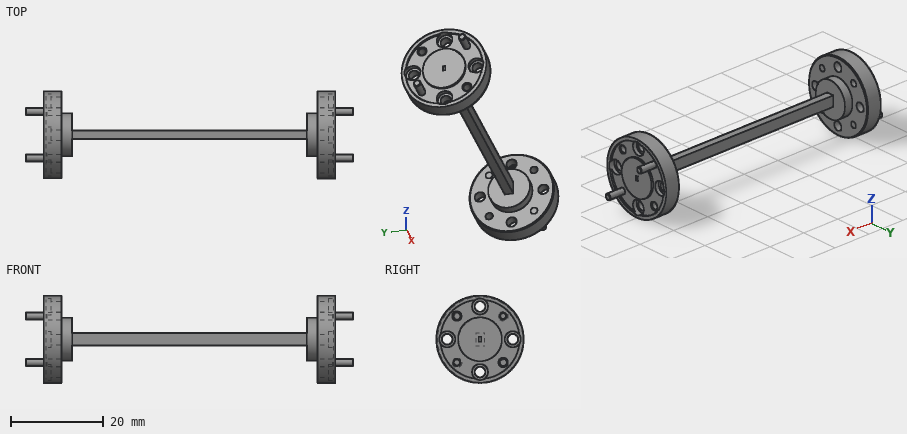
import cadquery as cq
import math

total_length = 71.25

flange_diameter = 19.0
flange_thickness = 4.0
flange_chamfer = 0.2
boss_diameter = 9.4
boss_length = 2.2

recess_outer_diameter = 17.25
recess_inner_diameter = 9.55
recess_depth = 0.5

bolt_circle_radius = 7.1
bolt_hole_diameter = 2.3
counterbore_diameter = 3.5
counterbore_depth = 1.6
bolt_angles = (0, 90, 180, 270)
pin_angles = (135, 315)
socket_angles = (45, 225)
socket_diameter = 1.65
socket_chamfer = 0.2

pin_diameter = 1.6
pin_projection = 3.9
pin_chamfer = 0.15

tube_width = 1.9
tube_height = 2.8
aperture_width = 0.6
aperture_height = 1.1
aperture_depth = 0.4

pin_tip_x = -total_length / 2
face_x = pin_tip_x + pin_projection
recess_floor_x = face_x + recess_depth
counterbore_floor_x = face_x + counterbore_depth
flange_back_x = face_x + flange_thickness
boss_end_x = flange_back_x + boss_length


def on_bolt_circle(angles):
    """(y, z) positions on the bolt circle."""
    return [
        (
            bolt_circle_radius * math.cos(math.radians(angle)),
            bolt_circle_radius * math.sin(math.radians(angle)),
        )
        for angle in angles
    ]


def rods(diameter, start_x, end_x, centers=((0, 0),)):
    """Cylinders along X at the given (y, z) centers."""
    return (
        cq.Workplane("YZ", origin=(start_x, 0, 0))
        .pushPoints(centers)
        .circle(diameter / 2)
        .extrude(end_x - start_x)
    )


def other_end(body):
    """The same body turned half a turn about Z, to the +X end."""
    return body.rotate((0, 0, 0), (0, 0, 1), 180)


def face_recess():
    """Ring cut into the mating face around its central land."""
    disc = rods(recess_outer_diameter, face_x, recess_floor_x)
    land = rods(recess_inner_diameter, face_x, recess_floor_x)
    return disc.cut(land)


def bolt_holes():
    """Through holes counterbored from the mating face."""
    centers = on_bolt_circle(bolt_angles)
    holes = rods(bolt_hole_diameter, face_x, flange_back_x, centers)
    counterbores = rods(counterbore_diameter, face_x, counterbore_floor_x, centers)
    return holes.union(counterbores)


def pin_sockets():
    """Through holes for the mating pins, chamfered where they open into the recess."""
    sockets = rods(socket_diameter, recess_floor_x, flange_back_x, on_bolt_circle(socket_angles))
    mouth_diameter = socket_diameter + 2 * socket_chamfer
    mouths = (
        cq.Workplane("YZ", origin=(recess_floor_x, 0, 0))
        .pushPoints(on_bolt_circle(socket_angles))
        .circle(mouth_diameter / 2)
        .extrude(socket_chamfer, taper=45)
    )
    return sockets.union(mouths)


def aperture():
    """Shallow rectangular waveguide opening in the mating face."""
    return (
        cq.Workplane("YZ", origin=(face_x, 0, 0))
        .rect(aperture_width, aperture_height)
        .extrude(aperture_depth)
    )


def make_flange():
    plate = rods(flange_diameter, face_x, flange_back_x).faces(">X").chamfer(flange_chamfer)
    boss = rods(boss_diameter, flange_back_x, boss_end_x)
    pin_holes = rods(pin_diameter, face_x, flange_back_x, on_bolt_circle(pin_angles))
    flange = plate.union(boss)
    for pocket in (face_recess(), bolt_holes(), pin_sockets(), pin_holes, aperture()):
        flange = flange.cut(pocket)
    return flange


def make_waveguide():
    """Tube with a flange on each end, as one piece."""
    flange = make_flange()
    tube = cq.Workplane("XY").box(2 * abs(boss_end_x), tube_width, tube_height)
    return tube.union(flange).union(other_end(flange))


def make_pin(center):
    """Pin at the -X end, flush with the back of the flange."""
    return rods(pin_diameter, pin_tip_x, flange_back_x, [center]).faces("<X").chamfer(pin_chamfer)


waveguide = make_waveguide()

pins = []
for pin_center in on_bolt_circle(pin_angles):
    pin = make_pin(pin_center)
    pins.append(pin.val())
    pins.append(other_end(pin).val())

result = cq.Compound.makeCompound([waveguide.val(), *pins])